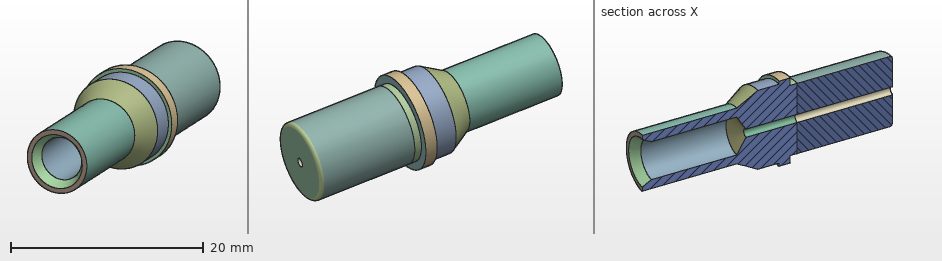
import cadquery as cq
import math

OVERALL_LENGTH = 29.65
FRONT_END = -OVERALL_LENGTH / 2
REAR_END = OVERALL_LENGTH / 2

TUBE_RADIUS = 3.47
TUBE_LENGTH = 11.17
TAPER_LENGTH = 2.5
COLLAR_RADIUS = 4.9
COLLAR_LENGTH = 2.52
FLANGE_RADIUS = 5.28
FLANGE_LENGTH = 1.35
NECK_LENGTH = 0.8

BARREL_RADIUS = 4.35
BARREL_EDGE_RADIUS = 0.4

MOUTH_RADIUS = 2.93
MOUTH_TAPER_LENGTH = 1.1
BORE_RADIUS = 2.3
BORE_DEPTH = TUBE_LENGTH
BORE_TIP_ANGLE = 118.0
VENT_RADIUS = 0.47

TUBE_END = FRONT_END + TUBE_LENGTH
TAPER_END = TUBE_END + TAPER_LENGTH
COLLAR_END = TAPER_END + COLLAR_LENGTH
FLANGE_END = COLLAR_END + FLANGE_LENGTH
JOINT = FLANGE_END + NECK_LENGTH
MOUTH_END = FRONT_END + MOUTH_TAPER_LENGTH
BORE_END = FRONT_END + BORE_DEPTH
BORE_TIP = BORE_END + (BORE_RADIUS - VENT_RADIUS) / math.tan(math.radians(BORE_TIP_ANGLE / 2))


def turn(profile):
    """Turn a closed (radius, y) profile about the Y axis."""
    return cq.Workplane("XY").polyline(profile).close().revolve(360, (0, 0, 0), (0, 1, 0))


def make_socket_body():
    """Flanged body with a blind bore whose conical bottom opens into the vent hole."""
    outside = [
        (TUBE_RADIUS, FRONT_END),
        (TUBE_RADIUS, TUBE_END),
        (COLLAR_RADIUS, TAPER_END),
        (COLLAR_RADIUS, COLLAR_END),
        (FLANGE_RADIUS, COLLAR_END),
        (FLANGE_RADIUS, FLANGE_END),
        (BARREL_RADIUS, FLANGE_END),
        (BARREL_RADIUS, JOINT),
    ]
    inside = [
        (VENT_RADIUS, JOINT),
        (VENT_RADIUS, BORE_TIP),
        (BORE_RADIUS, BORE_END),
        (BORE_RADIUS, MOUTH_END),
        (MOUTH_RADIUS, FRONT_END),
    ]
    return turn(outside + inside)


def make_barrel():
    """Rear barrel with a rounded outer end edge, carrying the vent hole through."""
    solid_barrel = turn([(0, JOINT), (BARREL_RADIUS, JOINT), (BARREL_RADIUS, REAR_END), (0, REAR_END)])
    rounded = solid_barrel.faces(">Y").edges().fillet(BARREL_EDGE_RADIUS)
    vent = turn([(0, JOINT), (VENT_RADIUS, JOINT), (VENT_RADIUS, REAR_END), (0, REAR_END)])
    return rounded.cut(vent)


socket_body = make_socket_body()
barrel = make_barrel()
result = cq.Compound.makeCompound([socket_body.val(), barrel.val()])